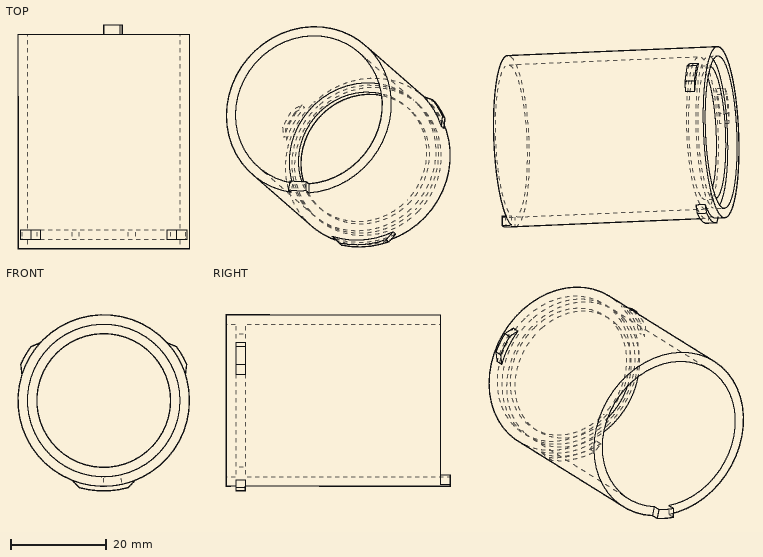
import cadquery as cq
import math

TUBE_LENGTH = 45.0
OUTER_RADIUS = 18.0
WALL_THICKNESS = 2.0
INNER_RADIUS = OUTER_RADIUS - WALL_THICKNESS

FLANGE_OFFSET = 2.0
FLANGE_THICKNESS = 2.0
FLANGE_HEIGHT = 2.0
FLANGE_BORE_RADIUS = INNER_RADIUS - FLANGE_HEIGHT

LUG_OFFSET = 2.0
LUG_WIDTH = 2.0
LUG_HEIGHT = 1.0
LUG_TIP_RADIUS = OUTER_RADIUS + LUG_HEIGHT
LUG_ROOT_RADIUS = OUTER_RADIUS - WALL_THICKNESS / 2
WIDE_LUG_ANGLE = 270.0
NARROW_LUG_ANGLES = (30.0, 150.0)
WIDE_LUG_HALF_SPAN = 21.7
NARROW_LUG_HALF_SPAN = 12.5
LUG_END_TAPER = 6.0

TAB_LENGTH = 2.0
TAB_START_ANGLE = 270.0
TAB_SPAN = 12.5


def polar(radius, angle):
    """Point in the XZ plane at an angle in degrees from +X towards +Z."""
    return radius * math.cos(math.radians(angle)), radius * math.sin(math.radians(angle))


def extrude_along_y(outline, start, length):
    """Extrude a closed XZ outline from Y = start towards +Y."""
    return outline.extrude(-length).translate((0, start, 0))


def make_ring(outer_radius, inner_radius, start, length):
    """Ring around the Y axis."""
    outline = cq.Workplane("XZ").circle(outer_radius).circle(inner_radius)
    return extrude_along_y(outline, start, length)


def make_tube():
    """Thin-walled tube with a flange standing inwards near its socket end."""
    tube = make_ring(OUTER_RADIUS, INNER_RADIUS, 0, TUBE_LENGTH)
    flange_root_radius = OUTER_RADIUS - WALL_THICKNESS / 2
    flange = make_ring(flange_root_radius, FLANGE_BORE_RADIUS, FLANGE_OFFSET, FLANGE_THICKNESS)
    return tube.union(flange)


def make_lug(angle, base_half):
    """Lug with an arc-shaped tip and sloping ends that meet the tube surface."""
    tip_half = base_half - LUG_END_TAPER
    outline = (
        cq.Workplane("XZ")
        .moveTo(*polar(LUG_ROOT_RADIUS, angle - base_half))
        .lineTo(*polar(OUTER_RADIUS, angle - base_half))
        .lineTo(*polar(LUG_TIP_RADIUS, angle - tip_half))
        .threePointArc(polar(LUG_TIP_RADIUS, angle), polar(LUG_TIP_RADIUS, angle + tip_half))
        .lineTo(*polar(OUTER_RADIUS, angle + base_half))
        .lineTo(*polar(LUG_ROOT_RADIUS, angle + base_half))
        .threePointArc(polar(LUG_ROOT_RADIUS, angle), polar(LUG_ROOT_RADIUS, angle - base_half))
        .close()
    )
    return extrude_along_y(outline, LUG_OFFSET, LUG_WIDTH)


def make_tab():
    """Sector of the wall that stands out past the far end of the tube."""
    middle_angle = TAB_START_ANGLE + TAB_SPAN / 2
    end_angle = TAB_START_ANGLE + TAB_SPAN
    outline = (
        cq.Workplane("XZ")
        .moveTo(*polar(INNER_RADIUS, TAB_START_ANGLE))
        .lineTo(*polar(OUTER_RADIUS, TAB_START_ANGLE))
        .threePointArc(polar(OUTER_RADIUS, middle_angle), polar(OUTER_RADIUS, end_angle))
        .lineTo(*polar(INNER_RADIUS, end_angle))
        .threePointArc(polar(INNER_RADIUS, middle_angle), polar(INNER_RADIUS, TAB_START_ANGLE))
        .close()
    )
    return extrude_along_y(outline, TUBE_LENGTH, TAB_LENGTH)


result = make_tube().union(make_lug(WIDE_LUG_ANGLE, WIDE_LUG_HALF_SPAN))
for lug_angle in NARROW_LUG_ANGLES:
    result = result.union(make_lug(lug_angle, NARROW_LUG_HALF_SPAN))
result = result.union(make_tab())